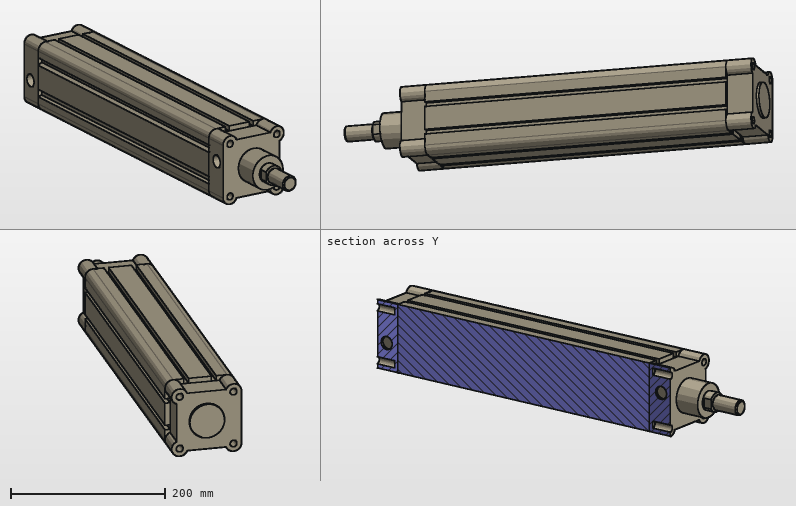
import cadquery as cq
import math


side = 94.0
half_side = side / 2
corner_radius = 11.0
ear_center = half_side - corner_radius

total_length = 568.0
rear_spigot_length = 3.5
cap_length = 34.0
barrel_length = 409.0
front_spigot_length = 34.5

rear_cap_start = rear_spigot_length
barrel_start = rear_cap_start + cap_length
barrel_end = barrel_start + barrel_length
front_cap_end = barrel_end + cap_length
rod_start = front_cap_end + front_spigot_length

spigot_radius = 23.5
recess_depth = 7.0
ear_hole_radius = 4.5
ear_hole_depth = 28.5
port_radius = 8.5
port_depth = 14.0
port_offset_z = 9.5
port_to_barrel = 19.0

slot_inner = 15.5
slot_outer = 21.5
slot_depth = recess_depth

groove_inner = 16.5
groove_outer = 26.5
groove_floor_inner = 20.0
groove_floor_outer = 25.0
groove_depth = 5.0

neck_radius = 13.0
collar_length = 1.5
flats_length = 11.5
across_flats = 23.0
thread_radius = 10.0
thread_chamfer = 1.5


def section_plane(x):
    """Plane across the cylinder at x, with local x along +Y and local y along +Z."""
    return cq.Workplane("YZ", origin=(x, 0, 0))


def rounded_square(x, length):
    """Square bar with rounded edges that starts at x."""
    return section_plane(x).rect(side, side).extrude(length).edges("|X").fillet(corner_radius)


def cap_body(x, port_x, port_z):
    """Cap with round corner ears, recessed top, bottom and +Y sides, and a port on the flush -Y side."""
    recess = half_side - recess_depth
    recess_end = ear_center - math.sqrt(corner_radius**2 - (recess - ear_center) ** 2)
    ear_diagonal = ear_center + corner_radius * math.sqrt(0.5)

    body = (
        section_plane(x)
        .moveTo(-half_side, -ear_center)
        .lineTo(-half_side, ear_center)
        .threePointArc((-ear_center, half_side), (-recess_end, recess))
        .lineTo(recess_end, recess)
        .threePointArc((ear_diagonal, ear_diagonal), (recess, recess_end))
        .lineTo(recess, -recess_end)
        .threePointArc((ear_diagonal, -ear_diagonal), (recess_end, -recess))
        .lineTo(-recess_end, -recess)
        .threePointArc((-ear_center, -half_side), (-half_side, -ear_center))
        .close()
        .extrude(cap_length)
    )
    port = (
        cq.Workplane("XZ", origin=(port_x, -half_side, port_z))
        .circle(port_radius)
        .extrude(-port_depth)
    )
    return body.cut(port)


def ear_holes(x, length):
    """Four blind holes from x, one on the axis of each ear."""
    return (
        section_plane(x)
        .rect(2 * ear_center, 2 * ear_center, forConstruction=True)
        .vertices()
        .circle(ear_hole_radius)
        .extrude(length)
    )


def spigot(x, length):
    """Round spigot on the cylinder axis."""
    return section_plane(x).circle(spigot_radius).extrude(length)


def make_rear_cap():
    body = cap_body(rear_cap_start, barrel_start - port_to_barrel, -port_offset_z)
    body = body.cut(ear_holes(rear_cap_start, ear_hole_depth))
    return body.union(spigot(0, rear_spigot_length))


def make_front_cap():
    body = cap_body(barrel_end, barrel_end + port_to_barrel, port_offset_z)
    body = body.cut(ear_holes(front_cap_end, -ear_hole_depth))
    return body.union(spigot(front_cap_end, front_spigot_length))


def plain_slots():
    """Two straight slots in the top side."""
    width = slot_outer - slot_inner
    middle = (slot_outer + slot_inner) / 2
    return (
        section_plane(barrel_start)
        .pushPoints([(y, half_side - slot_depth / 2) for y in (-middle, middle)])
        .rect(width, slot_depth)
        .extrude(barrel_length)
    )


def sloped_groove():
    """Groove with sloping walls in the upper half of the -Y side."""
    floor_y = groove_depth - half_side
    return (
        section_plane(barrel_start)
        .moveTo(-half_side, groove_inner)
        .lineTo(floor_y, groove_floor_inner)
        .lineTo(floor_y, groove_floor_outer)
        .lineTo(-half_side, groove_outer)
        .close()
        .extrude(barrel_length)
    )


def make_barrel():
    body = rounded_square(barrel_start, barrel_length)
    for angle in (0, 90, 180):
        body = body.cut(plain_slots().rotate((0, 0, 0), (1, 0, 0), -angle))
    groove = sloped_groove()
    return body.cut(groove).cut(groove.mirror("XY"))


def make_rod():
    """Round neck with two wrench flats on the Y sides, then a thread chamfered at both ends."""
    flats_start = rod_start + collar_length
    thread_start = flats_start + flats_length

    collar = section_plane(rod_start).circle(neck_radius).extrude(collar_length)
    neck = section_plane(flats_start).circle(neck_radius).extrude(flats_length)
    between_flats = section_plane(flats_start).rect(across_flats, 2 * neck_radius).extrude(flats_length)
    thread = (
        section_plane(thread_start)
        .circle(thread_radius)
        .extrude(total_length - thread_start)
        .faces("<X or >X")
        .chamfer(thread_chamfer)
    )
    return collar.union(neck.intersect(between_flats)).union(thread)


rear_cap = make_rear_cap()
barrel = make_barrel()
front_cap = make_front_cap()
rod = make_rod()

result = cq.Compound.makeCompound([rear_cap.val(), barrel.val(), front_cap.val(), rod.val()])